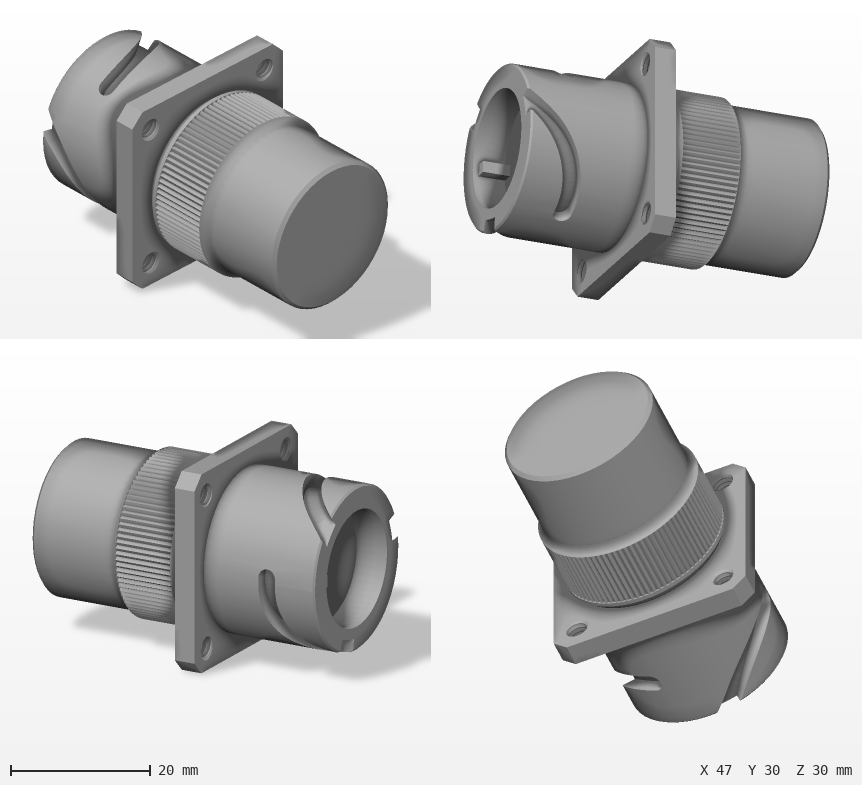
import cadquery as cq
import math

total_length = 47.0
flange_front = 18.15
flange_thickness = 3.25
flange_back = flange_front + flange_thickness
nut_front = 21.85
nut_chamfer_end = 23.0
knurl_start = 23.6
knurl_end = 32.55

shell_radius = 12.3
neck_radius = 9.55
nut_radius = 12.5
nut_face_radius = 11.6
barrel_radius = 11.55
shell_chamfer = 0.3
barrel_chamfer = 0.5
shoulder_fillet = 1.5

flange_size = 30.0
flange_corner_chamfer = 2.0
hole_offset = 11.45
thread_minor_radius = 1.55
thread_major_radius = 2.0
thread_pitch = 0.7
thread_groove_width = 0.6
thread_groove_overlap = 0.05
thread_start_angle = -90.0

socket_radius = 8.75
socket_depth = 5.0
key_front = 0.85
key_width = 1.7
key_height = 1.85

knurl_teeth = 90
knurl_depth = 0.4

slot_count = 3
slot_first_angle = 44.0
slot_width = 2.73
slot_floor_radius = 10.35
slot_lead_in = 2.3
slot_entry_slope = 45.0
slot_bend_radius = 18.8
slot_end_straight = 1.5
slot_lead_in_steps = 3
slot_bend_steps = 18

clearance = 0.95


def make_body():
    """Turned body: shell, neck, coupling nut and rear barrel."""
    shoulder_rise = nut_radius - barrel_radius
    shoulder_length = math.sqrt(2 * shoulder_fillet * shoulder_rise - shoulder_rise**2)
    shoulder_end = knurl_end + shoulder_length
    half_sweep = math.asin(shoulder_length / shoulder_fillet) / 2
    shoulder_mid = (
        shoulder_end - shoulder_fillet * math.sin(half_sweep),
        barrel_radius + shoulder_fillet * (1 - math.cos(half_sweep)),
    )
    return (
        cq.Workplane("XY")
        .moveTo(0, 0)
        .lineTo(0, shell_radius - shell_chamfer)
        .lineTo(shell_chamfer, shell_radius)
        .lineTo(flange_back, shell_radius)
        .lineTo(flange_back, neck_radius)
        .lineTo(nut_front, neck_radius)
        .lineTo(nut_front, nut_face_radius)
        .lineTo(nut_chamfer_end, nut_radius)
        .lineTo(knurl_end, nut_radius)
        .threePointArc(shoulder_mid, (shoulder_end, barrel_radius))
        .lineTo(total_length - barrel_chamfer, barrel_radius)
        .lineTo(total_length, barrel_radius - barrel_chamfer)
        .lineTo(total_length, 0)
        .close()
        .revolve(360, (0, 0, 0), (1, 0, 0))
    )


def make_flange():
    """Square plate with chamfered corners."""
    return (
        cq.Workplane("YZ", origin=(flange_front, 0, 0))
        .rect(flange_size, flange_size)
        .extrude(flange_thickness)
        .edges("|X")
        .chamfer(flange_corner_chamfer)
    )


def make_threaded_hole():
    """Cutter along +Z for one tapped flange hole, overrunning the plate by one pitch at each end."""
    depth = flange_thickness + 2 * thread_pitch
    bore = cq.Workplane("XY").circle(thread_minor_radius).extrude(depth)
    helix = cq.Wire.makeHelix(thread_pitch, depth - thread_pitch, thread_minor_radius)
    groove_base = thread_minor_radius - thread_groove_overlap
    groove = (
        cq.Workplane("XZ")
        .moveTo(groove_base, -thread_groove_width / 2)
        .lineTo(thread_major_radius, 0)
        .lineTo(groove_base, thread_groove_width / 2)
        .close()
        .sweep(cq.Workplane(helix), isFrenet=True)
    )
    return bore.union(groove.translate((0, 0, thread_pitch / 2)))


def cut_flange_holes(part):
    """Four tapped holes, each turned a quarter turn about the axis."""
    cutter = (
        make_threaded_hole()
        .rotate((0, 0, 0), (0, 0, 1), thread_start_angle)
        .rotate((0, 0, 0), (0, 1, 0), 90)
        .translate((flange_front - thread_pitch, hole_offset, hole_offset))
    )
    for index in range(4):
        part = part.cut(cutter.rotate((0, 0, 0), (1, 0, 0), 90 * index))
    return part


def cut_socket(part):
    """Round blind socket with a rectangular key standing on its +Y wall."""
    socket = cq.Workplane("YZ").circle(socket_radius).extrude(socket_depth)
    key = cq.Workplane("XY").box(
        socket_depth - key_front, key_height + clearance, key_width, centered=(False, False, True)
    )
    key = key.translate((key_front, socket_radius - key_height, 0))
    return part.cut(socket.cut(key))


def cut_knurl(part):
    """Ring of V grooves between the nut rim and the rear shoulder."""
    half_pitch = math.pi / knurl_teeth
    points = []
    for tooth in range(knurl_teeth):
        root_angle = 2 * half_pitch * tooth
        crest_angle = root_angle + half_pitch
        for radius, angle in ((nut_radius - knurl_depth, root_angle), (nut_radius, crest_angle)):
            points.append((radius * math.cos(angle), radius * math.sin(angle)))
    length = knurl_end - knurl_start
    plane = cq.Workplane("YZ", origin=(knurl_start, 0, 0))
    ring = plane.circle(nut_radius + clearance).extrude(length)
    return part.cut(ring.cut(plane.polyline(points).close().extrude(length)))


def slot_stations():
    """Slot centreline on the unrolled shell: (axial place, arc length, heading from the axis)."""
    entry = math.radians(slot_entry_slope)
    lead_in_arc = slot_lead_in * math.tan(entry)
    stations = []
    for step in range(-slot_lead_in_steps, slot_lead_in_steps):
        share = step / slot_lead_in_steps
        stations.append((slot_lead_in * share, lead_in_arc * share, entry))
    for step in range(slot_bend_steps + 1):
        heading = entry + (math.pi / 2 - entry) * step / slot_bend_steps
        x = slot_lead_in + slot_bend_radius * (math.sin(heading) - math.sin(entry))
        s = lead_in_arc + slot_bend_radius * (math.cos(entry) - math.cos(heading))
        stations.append((x, s, heading))
    stations.append((x, s + slot_end_straight, heading))
    return stations


def make_slot(entry_angle):
    """Cutter for one ramp slot that enters the mating face at entry_angle from +Y."""
    top_radius = shell_radius + clearance
    half_width = slot_width / 2
    sections = []
    for x, s, heading in slot_stations():
        angle = math.radians(entry_angle) + s / shell_radius
        radial = cq.Vector(0, math.cos(angle), math.sin(angle))
        tangent = cq.Vector(0, -math.sin(angle), math.cos(angle))
        across = cq.Vector(math.sin(heading), 0, 0) - tangent * math.cos(heading)
        floor = cq.Vector(x, 0, 0) + radial * slot_floor_radius
        top = cq.Vector(x, 0, 0) + radial * top_radius
        side = across * half_width
        corners = [floor - side, floor + side, top + side, top - side]
        sections.append(cq.Wire.makePolygon(corners, close=True))
    ramp = cq.Workplane(cq.Solid.makeLoft(sections, True))
    rounded_end = cq.Solid.makeCylinder(half_width, top_radius - slot_floor_radius, floor, radial)
    return ramp.union(cq.Workplane(rounded_end))


def cut_slots(part):
    """Identical ramp slots evenly spaced around the shell."""
    for index in range(slot_count):
        part = part.cut(make_slot(slot_first_angle + 360 / slot_count * index))
    return part


result = make_body().union(make_flange())
result = cut_flange_holes(result)
result = cut_socket(result)
result = cut_knurl(result)
result = cut_slots(result)